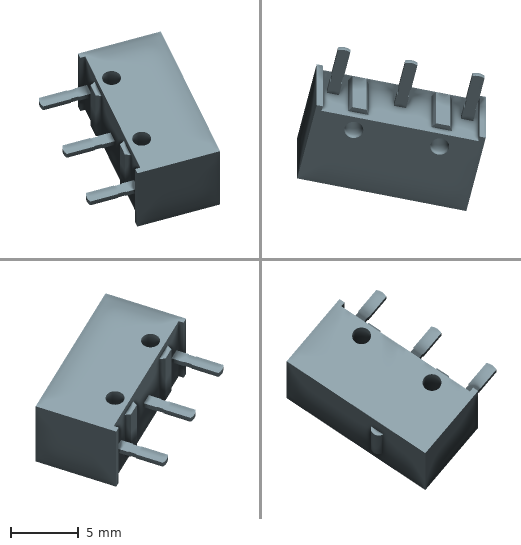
import cadquery as cq

LENGTH = 12.8
DEPTH = 6.5
HEIGHT = 5.8
FOOT_WIDTH = 0.46
FOOT_HEIGHT = 0.4

HOLE_DIAMETER = 1.4
HOLE_SPACING = 6.5
HOLE_Y = 1.48

RIDGE_SPACING = 6.32
RIDGE_BASE_WIDTH = 1.52
RIDGE_TIP_WIDTH = 1.08
RIDGE_LENGTH = 4.4

TERMINAL_PITCH = 5.08
TERMINAL_WIDTH = 0.92
TERMINAL_THICKNESS = 0.41
TERMINAL_REACH = 3.5
TIP_RISE = 0.12
NECK_START = 0.6
NECK_END = 1.2
NECK_INSET = 0.05

BUTTON_X = -1.96
BUTTON_WIDTH = 1.1
BUTTON_RISE = 0.4
BUTTON_LENGTH = 2.93


def make_block():
    """Plain block, with a full-height recess between the two end feet."""
    block = cq.Workplane("XY").box(LENGTH, DEPTH, HEIGHT).translate((0, DEPTH / 2, 0))
    recess = cq.Workplane("XY").box(LENGTH - 2 * FOOT_WIDTH, FOOT_HEIGHT, HEIGHT)
    return block.cut(recess.translate((0, FOOT_HEIGHT / 2, 0)))


def make_ridge(x):
    """Trapezoidal ridge rising from the recess floor."""
    half_base = RIDGE_BASE_WIDTH / 2
    half_tip = RIDGE_TIP_WIDTH / 2
    outline = [
        (x - half_base, FOOT_HEIGHT),
        (x - half_tip, 0),
        (x + half_tip, 0),
        (x + half_base, FOOT_HEIGHT),
    ]
    return cq.Workplane("XY").polyline(outline).close().extrude(RIDGE_LENGTH / 2, both=True)


def make_terminal(x):
    """Flat blade with a shallow neck and a rounded tip."""
    half_width = TERMINAL_WIDTH / 2
    half_neck = half_width - NECK_INSET
    shoulder_y = TIP_RISE - TERMINAL_REACH
    return (
        cq.Workplane("XY")
        .moveTo(x - half_width, FOOT_HEIGHT)
        .lineTo(x - half_width, -NECK_START)
        .lineTo(x - half_neck, -NECK_START)
        .lineTo(x - half_neck, -NECK_END)
        .lineTo(x - half_width, -NECK_END)
        .lineTo(x - half_width, shoulder_y)
        .threePointArc((x, -TERMINAL_REACH), (x + half_width, shoulder_y))
        .lineTo(x + half_width, -NECK_END)
        .lineTo(x + half_neck, -NECK_END)
        .lineTo(x + half_neck, -NECK_START)
        .lineTo(x + half_width, -NECK_START)
        .lineTo(x + half_width, FOOT_HEIGHT)
        .close()
        .extrude(TERMINAL_THICKNESS / 2, both=True)
    )


def make_mounting_holes():
    """Cylinders that cut the two holes right through along Z."""
    return (
        cq.Workplane("XY")
        .pushPoints([(side * HOLE_SPACING / 2, HOLE_Y) for side in (-1, 1)])
        .circle(HOLE_DIAMETER / 2)
        .extrude(HEIGHT, both=True)
    )


def make_housing():
    """Block with its ridges, terminals and mounting holes, as one solid."""
    body = make_block()
    for side in (-1, 1):
        body = body.union(make_ridge(side * RIDGE_SPACING / 2))
    for position in (-1, 0, 1):
        body = body.union(make_terminal(position * TERMINAL_PITCH))
    return body.cut(make_mounting_holes())


def make_button():
    """Rounded bar resting on the housing's flat +Y face."""
    half_width = BUTTON_WIDTH / 2
    return (
        cq.Workplane("XY")
        .moveTo(BUTTON_X - half_width, DEPTH)
        .threePointArc((BUTTON_X, DEPTH + BUTTON_RISE), (BUTTON_X + half_width, DEPTH))
        .close()
        .extrude(BUTTON_LENGTH / 2, both=True)
    )


housing = make_housing()
button = make_button()

result = cq.Compound.makeCompound([housing.val(), button.val()])